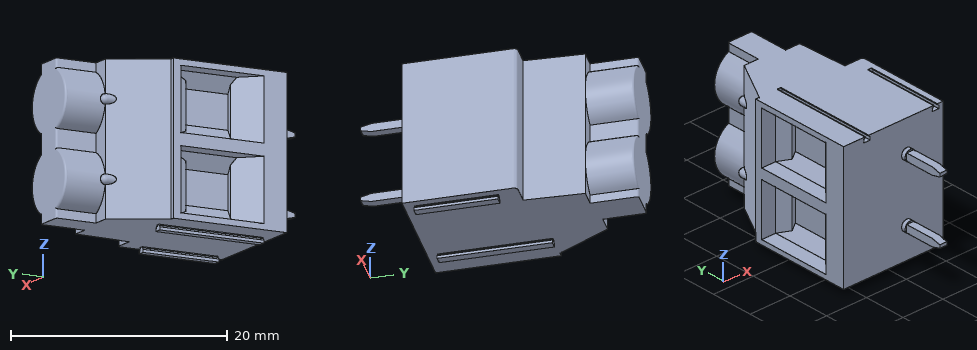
import cadquery as cq


overall_height = 26.5
pole_count = 2
pitch = 7.63
first_pole_z = 3.8
housing_depth = 12.5
housing_height = 21.5
housing_width = 15.25
pole_centres = [first_pole_z + pitch * pole for pole in range(pole_count)]

entry_face_height = 12.0
entry_ledge = 0.45
back_step_height = 11.0
back_step_x = 10.25
back_step_radius = 0.4
front_shoulder_height = 17.3
back_shoulder_height = 16.85

tower_diameter = 6.55
tower_front_x = 3.42
tower_x = tower_front_x + tower_diameter / 2
tower_back_x = tower_x + tower_diameter / 2
wall_thickness = 3.02
wall_front_x = tower_x - wall_thickness / 2
wall_back_x = tower_x + wall_thickness / 2
tower_root_height = 15.9
top_fillet = 0.2
rim_margin = 0.03

marker_radius = 0.5
marker_root_height = 13.25

pocket_bottom = 2.4
pocket_top = 11.18
pocket_height_z = 6.39
lead_in_depth = 1.75
funnel_top_depth = 2.23
pocket_depth = 2.62
inner_bottom = 4.8
inner_bottom_depth = 2.15
inner_top = 9.45
inner_height_z = 3.42

front_rail_x = 2.95
front_rail_top = entry_face_height
back_rail_x = 11.55
back_rail_top = 9.0
rail_neck_width = 0.42
rail_head_width = 0.77
rail_flare = 0.19
groove_neck = 0.05
groove_depth = 0.58
ridge_neck = 0.1
ridge_height = 0.58
ridge_bottom = 1.0

pin_x = 7.92
pin_size = 0.9
pin_length = overall_height - housing_height
pin_tip_length = 1.03
pin_tip_thickness = 0.4
collar_diameter = 1.3
collar_length = 0.48


def make_housing():
    outline = (
        cq.Workplane("XY")
        .moveTo(0, 0)
        .lineTo(0, entry_face_height)
        .lineTo(entry_ledge, entry_face_height)
        .lineTo(tower_front_x, front_shoulder_height)
        .lineTo(wall_front_x, front_shoulder_height)
        .lineTo(wall_back_x, back_shoulder_height)
        .lineTo(tower_back_x, back_shoulder_height)
        .lineTo(back_step_x, back_step_height)
        .lineTo(housing_depth - back_step_radius, back_step_height)
        .radiusArc((housing_depth, back_step_height - back_step_radius), back_step_radius)
        .lineTo(housing_depth, 0)
        .close()
    )
    return outline.extrude(housing_width)


def cylinder_along_y(x, z, diameter, start, end):
    plane = cq.Plane(origin=(x, start, z), xDir=(1, 0, 0), normal=(0, 1, 0))
    return cq.Workplane(plane).circle(diameter / 2).extrude(end - start)


def make_towers():
    wall_height = housing_height - tower_root_height
    wall = cq.Workplane("XY").box(wall_thickness, wall_height, housing_width, centered=False)
    towers = wall.translate((wall_front_x, tower_root_height, 0))
    for z in pole_centres:
        tower = cylinder_along_y(tower_x, z, tower_diameter, tower_root_height, housing_height)
        towers = towers.union(tower)
    rim = towers.faces(">Y").edges().edges(
        cq.selectors.BoxSelector(
            (0, housing_height - rim_margin, rim_margin),
            (housing_depth, housing_height + rim_margin, housing_width - rim_margin),
        )
    )
    return rim.fillet(top_fillet)


def make_marker(z):
    shaft = cylinder_along_y(
        tower_front_x, z, 2 * marker_radius, marker_root_height, front_shoulder_height
    )
    tip = cq.Workplane("XY").sphere(marker_radius).translate((tower_front_x, front_shoulder_height, z))
    return shaft.union(tip)


def make_pocket(z):
    side_profile = [
        (0, pocket_bottom),
        (0, pocket_top),
        (lead_in_depth, pocket_top),
        (funnel_top_depth, inner_top),
        (pocket_depth, inner_top),
        (pocket_depth, inner_bottom),
        (inner_bottom_depth, inner_bottom),
    ]
    end_profile = [
        (0, -pocket_height_z / 2),
        (lead_in_depth, -pocket_height_z / 2),
        (pocket_depth, -inner_height_z / 2),
        (pocket_depth, inner_height_z / 2),
        (lead_in_depth, pocket_height_z / 2),
        (0, pocket_height_z / 2),
    ]
    along_z = cq.Workplane("XY").polyline(side_profile).close().extrude(pocket_height_z / 2, both=True)
    along_y = cq.Workplane("XZ").polyline(end_profile).close().extrude(-housing_height)
    return along_z.intersect(along_y).translate((0, 0, z))


def make_rail(x, surface_z, neck, depth, start, end):
    """Dovetail bar hanging down from surface_z, running along Y from start to end."""
    half_neck = rail_neck_width / 2
    half_head = rail_head_width / 2
    flare_end = neck + rail_flare
    profile = [
        (-half_neck, 0),
        (-half_neck, -neck),
        (-half_head, -flare_end),
        (-half_head, -depth),
        (half_head, -depth),
        (half_head, -flare_end),
        (half_neck, -neck),
        (half_neck, 0),
    ]
    bar = cq.Workplane("XZ").polyline(profile).close().extrude(start - end)
    return bar.translate((x, start, surface_z))


def make_pin(z):
    collar = cylinder_along_y(pin_x, z, collar_diameter, -collar_length, 0)
    tip_start = pin_length - pin_tip_length
    half_size = pin_size / 2
    half_tip = pin_tip_thickness / 2
    blade = (
        cq.Workplane("YZ")
        .polyline([
            (0, -half_size),
            (-tip_start, -half_size),
            (-pin_length, -half_tip),
            (-pin_length, half_tip),
            (-tip_start, half_size),
            (0, half_size),
        ])
        .close()
        .extrude(half_size, both=True)
        .translate((pin_x, 0, z))
    )
    return collar.union(blade)


result = make_housing().union(make_towers())

for pole_z in pole_centres:
    result = result.union(make_marker(pole_z)).cut(make_pocket(pole_z)).union(make_pin(pole_z))

for rail_x, rail_top in [(front_rail_x, front_rail_top), (back_rail_x, back_rail_top)]:
    result = result.cut(make_rail(rail_x, housing_width, groove_neck, groove_depth, 0, rail_top))
    result = result.union(make_rail(rail_x, 0, ridge_neck, ridge_height, ridge_bottom, rail_top))